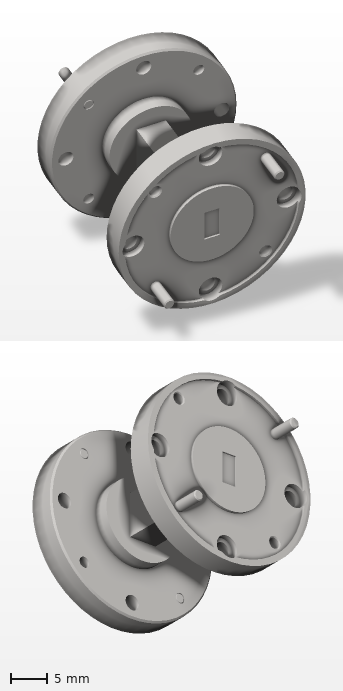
import cadquery as cq
overall_length = 33.15
flange_diameter = 28.58
flange_thickness = 4.05
flange_chamfer = 0.25
pin_length = 3.9
flange_face_x = overall_length / 2 - pin_length

hub_diameter = 12.73
hub_length = 2.3
guide_width = 4.48
guide_height = 6.8

relief_outer_diameter = 26.65
relief_depth = 0.5
land_diameter = hub_diameter
aperture_width = 2.4
aperture_height = 4.77
aperture_depth = 0.25

bolt_circle_diameter = 23.8
bolt_hole_diameter = 2.32
counterbore_diameter = 3.58
counterbore_depth = 1.52
pin_diameter = 1.6
pin_chamfer = 0.15
dowel_hole_diameter = 1.65
dowel_hole_chamfer = 0.15
dowel_hole_angle = 45
pin_angle = dowel_hole_angle + 90


def disc(start_x, length, diameter):
    """Cylinder along +X, starting at start_x and centred on the X axis."""
    return cq.Workplane("YZ", origin=(start_x, 0, 0)).circle(diameter / 2).extrude(length)


def cylinders(start_x, length, diameter, count, first_angle, taper=0):
    """Cylinders along +X, evenly spaced around the bolt circle; taper narrows them in degrees."""
    return (
        cq.Workplane("YZ", origin=(start_x, 0, 0))
        .polarArray(bolt_circle_diameter / 2, first_angle, 360, count)
        .circle(diameter / 2)
        .extrude(length, taper=taper)
    )


def flange_body():
    """Flange disc with a chamfered back edge and the hub behind it."""
    flange = disc(-flange_face_x, flange_thickness, flange_diameter).faces(">X").chamfer(flange_chamfer)
    hub = disc(-flange_face_x + flange_thickness, hub_length, hub_diameter)
    return flange.union(hub)


def face_relief():
    """Ring sunk into the mating face between the rim and the centre land."""
    ring = disc(-flange_face_x, relief_depth, relief_outer_diameter)
    return ring.cut(disc(-flange_face_x, relief_depth, land_diameter))


def aperture():
    """Shallow rectangular pocket at the centre of the land."""
    return (
        cq.Workplane("YZ", origin=(-flange_face_x, 0, 0))
        .rect(aperture_width, aperture_height)
        .extrude(aperture_depth)
    )


def bolt_holes():
    """Four through holes counterbored from the mating face."""
    holes = cylinders(-flange_face_x, flange_thickness, bolt_hole_diameter, 4, 0)
    counterbores = cylinders(-flange_face_x, counterbore_depth, counterbore_diameter, 4, 0)
    return holes.union(counterbores)


def dowel_holes():
    """Two through holes on one diagonal, countersunk at the relief floor."""
    relief_floor_x = -flange_face_x + relief_depth
    floor_thickness = flange_thickness - relief_depth
    holes = cylinders(relief_floor_x, floor_thickness, dowel_hole_diameter, 2, dowel_hole_angle)
    countersink_diameter = dowel_hole_diameter + 2 * dowel_hole_chamfer
    countersinks = cylinders(
        relief_floor_x, dowel_hole_chamfer, countersink_diameter, 2, dowel_hole_angle, taper=45
    )
    return holes.union(countersinks)


def pin_blanks():
    """Two plain cylinders on the other diagonal, from the pin tips to the back of the flange."""
    return cylinders(-overall_length / 2, pin_length + flange_thickness, pin_diameter, 2, pin_angle)


def flange_end():
    """Complete flange at the -X end."""
    body = flange_body().cut(face_relief()).cut(aperture())
    body = body.cut(bolt_holes()).cut(dowel_holes())
    pins = pin_blanks().faces("<X or >X").chamfer(pin_chamfer)
    return body.cut(pin_blanks()).union(pins)


hub_end_x = flange_face_x - flange_thickness - hub_length
guide = cq.Workplane("XY").box(2 * hub_end_x, guide_width, guide_height)

near_end = flange_end()
far_end = near_end.rotate((0, 0, 0), (0, 0, 1), 180)

result = near_end.union(guide).union(far_end)